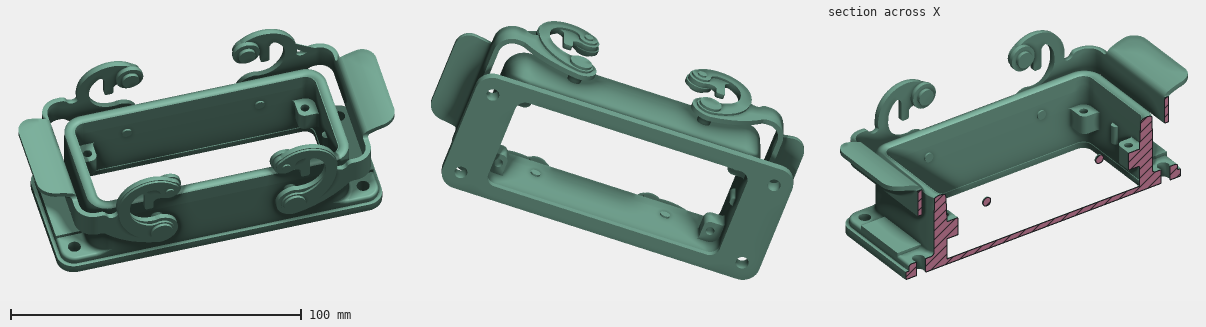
import cadquery as cq
import math

FLANGE_WIDTH, FLANGE_LENGTH, FLANGE_TOP = 45.2, 115.8, 3.2
FLANGE_CORNER = 6.0
BODY_WIDTH, BODY_LENGTH, BODY_CORNER = 42.8, 93.5, 7.4
PLINTH_LENGTH, PLINTH_CORNER = 113.2, 5.0
LAND_TOP = 5.7
LAND_EDGE_RADIUS = 1.0
PAD_WIDTH, PAD_TOP = 21.7, 7.0
PARTING_Z = 23.4
SHOULDER_Z = 28.8
RIM_TOP = 29.4
OUTER_DRAFT = 2.0
SELECT_MARGIN = 0.1
MOUNT_HOLE_DIAMETER, MOUNT_HOLE_X, MOUNT_HOLE_Y = 4.5, 16.0, 51.5

CAVITY_WIDTH, CAVITY_LENGTH, CAVITY_CORNER = 35.2, 85.3, 3.6
LIP_INSET, LIP_TOP = 0.32, 2.3
PARTING_STEP, RIM_STEP = 0.05, 0.18
BOSS_BOTTOM, BOSS_TOP = 10.3, 17.5
BOSS_X, BOSS_Y, BOSS_CORNER, BOSS_FILLET = 9.9, 35.9, 2.4, 0.9
BOSS_OVERLAP = 0.4
BOSS_HOLE_DIAMETER, BOSS_HOLE_X, BOSS_HOLE_Y = 3.0, 13.4, 38.7
RIB_DIAMETER = 3.0

PLATE_THICKNESS = 1.8
LEVER_OUTER_X = 27.3
LEVER_INNER_X = LEVER_OUTER_X - PLATE_THICKNESS
COVER_THICKNESS = 0.8
COVER_OUTER_X = LEVER_OUTER_X + COVER_THICKNESS
YOKE_BOTTOM, YOKE_TOP = 24.0, 33.5
YOKE_END_Y, YOKE_CORNER = 52.7, 6.6
PLATE_START_Y = YOKE_END_Y - YOKE_CORNER - 1.3
BRACE_THICKNESS = 0.3

HOOK_CENTER = (27.3, 34.6)
HOOK_OUTER, COVER_OUTER, HOOK_INNER = 12.0, 11.6, 7.6
HINGE_Y, HINGE_Z = 23.7, 19.4
HINGE_PIN_DIAMETER, HINGE_HEAD_DIAMETER, HINGE_NUB_DIAMETER = 4.8, 7.8, 3.5
OVERALL_WIDTH = 58.0
HINGE_HEAD_X = OVERALL_WIDTH / 2
HINGE_NUB_X = 17.0
ROLLER_Y, ROLLER_Z = 20.8, 39.7
ROLLER_STEPS = [(3.0, LEVER_INNER_X, 28.7), (9.5, 24.0, LEVER_INNER_X), (6.0, 22.7, 24.0)]
PLATE_TIP_RADIUS, COVER_TIP_RADIUS = 4.2, 3.3
PLATE_END_CENTER, PLATE_END_RADIUS = (24.0, 19.1), 6.4
COVER_HINGE_RADIUS = 4.6
FINGER_Y, FINGER_WIDTH = 26.2, 3.2
FINGER_BOTTOM, FINGER_CORNER = 31.8, 0.9
SADDLE_BOTTOM = (41.1, 31.2)
BRACE_CORNERS = [(45.7, 33.4), (37.3, 38.8), (37.3, 36.5), (42.2, 32.1)]

TAB_WIDTH, TAB_CORNER, TAB_ROOT_RADIUS = 34.4, 5.6, 1.5
TAB_TIP_Y = 63.7
TAB_SLOPE = 25.0
TAB_BEND = 1.3


def rounded_block(width, length, corner, bottom, top, taper=0.0):
    """Upright block with rounded vertical corners, centred on the Z axis."""
    outline = cq.Sketch().rect(width, length).vertices().fillet(corner)
    block = cq.Workplane("XY").workplane(offset=bottom).placeSketch(outline)
    return block.extrude(top - bottom, taper=taper)


def point_on(center, radius, degrees):
    """(Y, Z) point on a circle; 0 degrees is +Y and 90 degrees is +Z."""
    angle = math.radians(degrees)
    return (center[0] + radius * math.cos(angle), center[1] + radius * math.sin(angle))


def cylinder_x(diameter, y, z, x_start, x_end):
    plane = cq.Workplane("YZ", origin=(x_start, y, z))
    return plane.circle(diameter / 2).extrude(x_end - x_start)


def in_four_corners(solid):
    """The solid together with its mirror images in the XZ and YZ planes."""
    pair = solid.union(solid.mirror("YZ"))
    return pair.union(pair.mirror("XZ"))


def make_plinth():
    """Plinth with rounded land edges and a concave fillet around the foot of the body."""
    foot_radius = PAD_TOP - LAND_TOP
    ground = cq.Workplane("XY", origin=(0, 0, FLANGE_TOP)).box(
        2 * BODY_WIDTH, 2 * PLINTH_LENGTH, LAND_TOP - FLANGE_TOP, centered=(True, True, False)
    )
    body_stub = rounded_block(BODY_WIDTH, BODY_LENGTH, BODY_CORNER, FLANGE_TOP, PARTING_Z)
    foot_box = cq.selectors.BoxSelector(
        (-BODY_WIDTH / 2 - SELECT_MARGIN, -BODY_LENGTH / 2 - SELECT_MARGIN, LAND_TOP - SELECT_MARGIN),
        (BODY_WIDTH / 2 + SELECT_MARGIN, BODY_LENGTH / 2 + SELECT_MARGIN, LAND_TOP + SELECT_MARGIN),
    )
    plinth = ground.union(body_stub).edges(foot_box).fillet(foot_radius)
    plinth = plinth.intersect(rounded_block(BODY_WIDTH, PLINTH_LENGTH, PLINTH_CORNER, 0, PARTING_Z))
    for end in (">Y", "<Y"):
        plinth = plinth.faces(end).edges(">Z").fillet(LAND_EDGE_RADIUS)
    return plinth


def make_base():
    flange = rounded_block(FLANGE_WIDTH, FLANGE_LENGTH, FLANGE_CORNER, 0, FLANGE_TOP)
    pad = cq.Workplane("XY").box(PAD_WIDTH, PLINTH_LENGTH, PAD_TOP, centered=(True, True, False))
    return flange.union(make_plinth()).union(pad)


def make_body():
    lower = rounded_block(BODY_WIDTH, BODY_LENGTH, BODY_CORNER, 0, PARTING_Z)
    upper = rounded_block(BODY_WIDTH, BODY_LENGTH, BODY_CORNER, PARTING_Z, SHOULDER_Z, OUTER_DRAFT)
    return lower.union(upper)


def make_cavity():
    lip = rounded_block(
        CAVITY_WIDTH - 2 * LIP_INSET, CAVITY_LENGTH - 2 * LIP_INSET, CAVITY_CORNER, 0, LIP_TOP
    )
    lower = rounded_block(CAVITY_WIDTH, CAVITY_LENGTH, CAVITY_CORNER, LIP_TOP, BOSS_TOP)
    middle_draft = math.degrees(math.atan(PARTING_STEP / (PARTING_Z - BOSS_TOP)))
    middle = rounded_block(
        CAVITY_WIDTH, CAVITY_LENGTH, CAVITY_CORNER, BOSS_TOP, PARTING_Z, -middle_draft
    )
    upper_draft = math.degrees(math.atan(RIM_STEP / (SHOULDER_Z - PARTING_Z)))
    upper = rounded_block(
        CAVITY_WIDTH + 2 * PARTING_STEP, CAVITY_LENGTH + 2 * PARTING_STEP, CAVITY_CORNER + PARTING_STEP,
        PARTING_Z, SHOULDER_Z, -upper_draft,
    )
    return lip.union(lower).union(middle).union(upper)


def make_rim():
    """Domed bead on top of the wall, swept around the opening."""
    shrink = (SHOULDER_Z - PARTING_Z) * math.tan(math.radians(OUTER_DRAFT))
    outer_x = BODY_WIDTH / 2 - shrink
    wall = outer_x - CAVITY_WIDTH / 2 - PARTING_STEP - RIM_STEP
    middle_x = outer_x - wall / 2
    path_outline = cq.Sketch().rect(
        2 * middle_x, BODY_LENGTH - 2 * shrink - wall
    ).vertices().fillet(BODY_CORNER - shrink - wall / 2)
    path = cq.Workplane("XY").workplane(offset=SHOULDER_Z).placeSketch(path_outline)
    path = path.extrude(RIM_TOP - SHOULDER_Z).faces("<Z").wires()
    dome = (
        cq.Workplane("XZ")
        .moveTo(middle_x - wall / 2, SHOULDER_Z)
        .threePointArc((middle_x, RIM_TOP), (outer_x, SHOULDER_Z))
        .close()
    )
    return dome.sweep(path)


def make_bosses():
    """Screw bosses in the cavity corners and a half-round rib on each end wall."""
    height = BOSS_TOP - BOSS_BOTTOM
    wall_x, wall_y = CAVITY_WIDTH / 2, CAVITY_LENGTH / 2
    outline = (
        cq.Workplane("XY", origin=(0, 0, BOSS_BOTTOM))
        .moveTo(wall_x + BOSS_OVERLAP, wall_y + BOSS_OVERLAP)
        .lineTo(BOSS_X - BOSS_FILLET, wall_y + BOSS_OVERLAP)
        .lineTo(BOSS_X - BOSS_FILLET, wall_y)
        .radiusArc((BOSS_X, wall_y - BOSS_FILLET), BOSS_FILLET)
        .lineTo(BOSS_X, BOSS_Y + BOSS_CORNER)
        .radiusArc((BOSS_X + BOSS_CORNER, BOSS_Y), -BOSS_CORNER)
        .lineTo(wall_x - BOSS_FILLET, BOSS_Y)
        .radiusArc((wall_x, BOSS_Y - BOSS_FILLET), BOSS_FILLET)
        .lineTo(wall_x + BOSS_OVERLAP, BOSS_Y - BOSS_FILLET)
        .close()
    )
    boss = outline.extrude(height)
    hole = cq.Workplane("XY", origin=(BOSS_HOLE_X, BOSS_HOLE_Y, BOSS_BOTTOM))
    boss = boss.cut(hole.circle(BOSS_HOLE_DIAMETER / 2).extrude(height))
    rib = cq.Workplane("XY", origin=(0, CAVITY_LENGTH / 2, BOSS_BOTTOM))
    rib = rib.circle(RIB_DIAMETER / 2).extrude(height)
    return in_four_corners(boss).union(rib).union(rib.mirror("XZ"))


def make_housing():
    shell = make_base().union(make_body())
    shell = shell.cut(make_cavity()).union(make_rim()).union(make_bosses())
    hole = cq.Workplane("XY", origin=(MOUNT_HOLE_X, MOUNT_HOLE_Y, 0))
    return shell.cut(in_four_corners(hole.circle(MOUNT_HOLE_DIAMETER / 2).extrude(PAD_TOP)))


def make_lever_plate():
    """Hook-shaped plate from the yoke to the hinge and round to the roller."""
    roller = (ROLLER_Y, ROLLER_Z)
    finger_back = FINGER_Y + FINGER_WIDTH
    finger_straight_end = FINGER_BOTTOM + FINGER_CORNER
    outline = (
        cq.Workplane("YZ", origin=(LEVER_INNER_X, 0, 0))
        .moveTo(PLATE_START_Y, YOKE_TOP)
        .threePointArc((43.7, 33.2), (42.8, 32.3))
        .threePointArc(SADDLE_BOTTOM, point_on(HOOK_CENTER, HOOK_OUTER, -12))
        .threePointArc(point_on(HOOK_CENTER, HOOK_OUTER, 60), point_on(HOOK_CENTER, HOOK_OUTER, 131))
        .threePointArc(point_on(roller, PLATE_TIP_RADIUS, 180), point_on(roller, PLATE_TIP_RADIUS, -60))
        .threePointArc((24.6, 36.4), (FINGER_Y, 35.3))
        .lineTo(FINGER_Y, finger_straight_end)
        .radiusArc((FINGER_Y + FINGER_CORNER, FINGER_BOTTOM), -FINGER_CORNER)
        .lineTo(finger_back - FINGER_CORNER, FINGER_BOTTOM)
        .radiusArc((finger_back, finger_straight_end), -FINGER_CORNER)
        .lineTo(finger_back, 39.5)
        .threePointArc((29.9, 40.5), point_on(HOOK_CENTER, HOOK_INNER, 60))
        .threePointArc(point_on(HOOK_CENTER, HOOK_INNER, 30), point_on(HOOK_CENTER, HOOK_INNER, 0))
        .threePointArc((32.5, 27.5), (27.0, 25.1))
        .lineTo(25.5, 25.1)
        .lineTo(*point_on(PLATE_END_CENTER, PLATE_END_RADIUS, 90))
        .threePointArc(
            point_on(PLATE_END_CENTER, PLATE_END_RADIUS, 180),
            point_on(PLATE_END_CENTER, PLATE_END_RADIUS, -90),
        )
        .threePointArc((34.6, 16.5), (43.7, 23.5))
        .lineTo(PLATE_START_Y, YOKE_BOTTOM)
        .close()
    )
    return outline.extrude(PLATE_THICKNESS)


def make_cover():
    """Thin C-shaped cover on the outside of the lever plate."""
    hinge = (HINGE_Y, HINGE_Z)
    roller = (ROLLER_Y, ROLLER_Z)
    outline = (
        cq.Workplane("YZ", origin=(LEVER_OUTER_X, 0, 0))
        .moveTo(*point_on(HOOK_CENTER, COVER_OUTER, 0))
        .threePointArc(point_on(HOOK_CENTER, COVER_OUTER, 67), point_on(HOOK_CENTER, COVER_OUTER, 134))
        .threePointArc(point_on(roller, COVER_TIP_RADIUS, 190), point_on(roller, COVER_TIP_RADIUS, -15))
        .threePointArc((24.7, 41.3), point_on(HOOK_CENTER, HOOK_INNER, 95))
        .threePointArc(point_on(HOOK_CENTER, HOOK_INNER, 45), point_on(HOOK_CENTER, HOOK_INNER, 0))
        .threePointArc((31.8, 26.2), (27.0, 23.4))
        .lineTo(*point_on(hinge, COVER_HINGE_RADIUS, 70))
        .threePointArc(point_on(hinge, COVER_HINGE_RADIUS, 180), point_on(hinge, COVER_HINGE_RADIUS, -70))
        .threePointArc((34.8, 21.7), point_on(HOOK_CENTER, COVER_OUTER, 0))
        .close()
    )
    return outline.extrude(COVER_THICKNESS)


def make_lever_side():
    """Everything on the +X side of the lever: plate, cover, hinge pin and roller."""
    side = make_lever_plate().union(make_cover())
    wall_middle_x = (BODY_WIDTH + CAVITY_WIDTH) / 4
    pins = [
        (HINGE_PIN_DIAMETER, wall_middle_x, LEVER_INNER_X),
        (HINGE_HEAD_DIAMETER, COVER_OUTER_X, HINGE_HEAD_X),
        (HINGE_NUB_DIAMETER, HINGE_NUB_X, wall_middle_x),
    ]
    for diameter, start, end in pins:
        side = side.union(cylinder_x(diameter, HINGE_Y, HINGE_Z, start, end))
    for diameter, start, end in ROLLER_STEPS:
        side = side.union(cylinder_x(diameter, ROLLER_Y, ROLLER_Z, start, end))
    return side


def make_yoke():
    """U-shaped strap joining the two lever plates around the end of the housing."""
    def strap_block(half_width, end_y, corner):
        """Block ending at end_y with both of its end corners rounded."""
        block = cq.Workplane("XY", origin=(0, PLATE_START_Y, YOKE_BOTTOM)).box(
            2 * half_width, end_y - PLATE_START_Y, YOKE_TOP - YOKE_BOTTOM, centered=(True, False, False)
        )
        return block.edges("|Z and >Y").fillet(corner)

    outside = strap_block(LEVER_OUTER_X, YOKE_END_Y, YOKE_CORNER)
    inside = strap_block(
        LEVER_INNER_X, YOKE_END_Y - PLATE_THICKNESS, YOKE_CORNER - PLATE_THICKNESS
    )
    return outside.cut(inside)


def make_tab():
    """Finger tab: bends outward above the yoke and flattens towards its tip."""
    slope = math.radians(TAB_SLOPE)
    bend_center = (YOKE_END_Y + TAB_BEND, YOKE_TOP)
    bend_outer = TAB_BEND + PLATE_THICKNESS
    bend_end = 90 + TAB_SLOPE
    bend_middle = (180 + bend_end) / 2
    upper_end = point_on(bend_center, bend_outer, bend_end)
    sweep_radius = (TAB_TIP_Y - upper_end[0]) / math.sin(slope)
    sweep_center = (TAB_TIP_Y, upper_end[1] - sweep_radius * math.cos(slope))
    lower_radius = sweep_radius - PLATE_THICKNESS
    sweep_middle = 90 + TAB_SLOPE / 2
    half_width = TAB_WIDTH / 2
    root_half_width = half_width + TAB_ROOT_RADIUS
    profile = (
        cq.Workplane("YZ", origin=(-root_half_width, 0, 0))
        .moveTo(*point_on(bend_center, bend_outer, 180))
        .threePointArc(point_on(bend_center, bend_outer, bend_middle), upper_end)
        .threePointArc(
            point_on(sweep_center, sweep_radius, sweep_middle),
            point_on(sweep_center, sweep_radius, 90),
        )
        .lineTo(*point_on(sweep_center, lower_radius, 90))
        .threePointArc(
            point_on(sweep_center, lower_radius, sweep_middle),
            point_on(bend_center, TAB_BEND, bend_end),
        )
        .threePointArc(
            point_on(bend_center, TAB_BEND, bend_middle),
            point_on(bend_center, TAB_BEND, 180),
        )
        .close()
    )
    tab = profile.extrude(2 * root_half_width)
    root_z = YOKE_TOP + TAB_ROOT_RADIUS
    sheet_top = sweep_center[1] + sweep_radius + PLATE_THICKNESS
    root_middle = TAB_ROOT_RADIUS * (1 - math.sqrt(0.5))
    waste = (
        cq.Workplane("XZ")
        .moveTo(root_half_width, YOKE_TOP)
        .threePointArc((half_width + root_middle, YOKE_TOP + root_middle), (half_width, root_z))
        .lineTo(half_width, sheet_top)
        .lineTo(root_half_width, sheet_top)
        .close()
        .extrude(-TAB_TIP_Y)
    )
    tab = tab.cut(waste).cut(waste.mirror("YZ"))
    return tab.edges("|Z and >Y").fillet(TAB_CORNER)


def make_lever():
    side = make_lever_side()
    return make_yoke().union(make_tab()).union(side).union(side.mirror("YZ"))


def make_brace():
    """Thin diagonal web bridging the saddle of one lever plate, on its inner face."""
    outline = (
        cq.Workplane("YZ", origin=(-LEVER_INNER_X - BRACE_THICKNESS, 0, 0))
        .polyline(BRACE_CORNERS)
        .close()
    )
    return outline.extrude(BRACE_THICKNESS)


lever = make_lever()
result = make_housing().union(lever).union(lever.mirror("XZ")).union(make_brace())